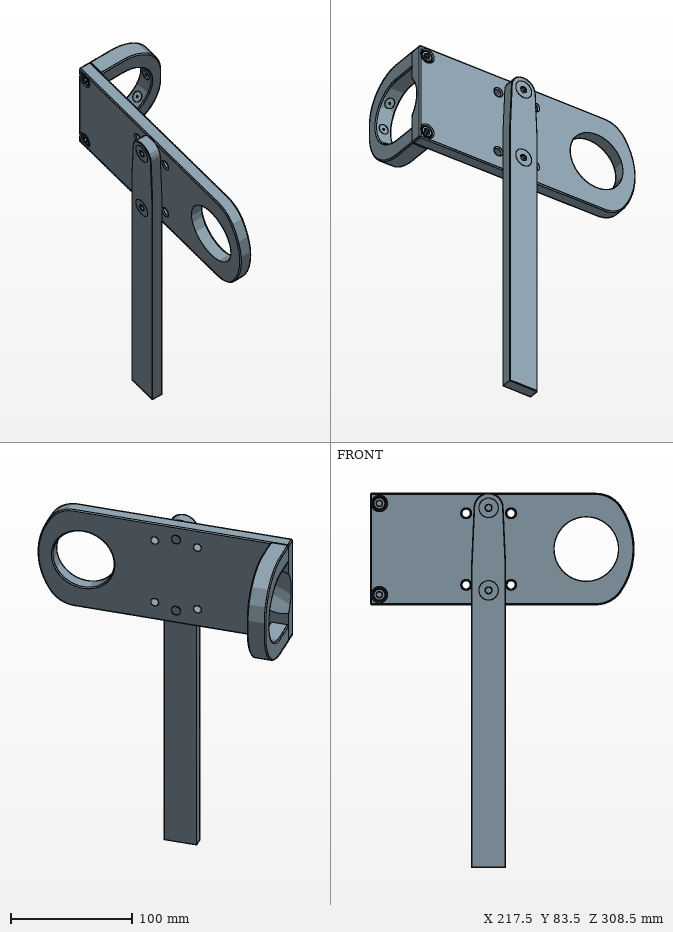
import cadquery as cq
import math


PLATE_LENGTH = 217.5
PLATE_HEIGHT = 92.0
PLATE_THICKNESS = 11.5
PLATE_CHAMFER = 1.0
END_RADIUS = 62.0
END_BLEND_RADIUS = 25.0
WINDOW_RADIUS = 26.5
WINDOW_CHAMFER = 1.0
WINDOW_X = 178.0
MID_Z = -PLATE_HEIGHT / 2

TAPPED_DIAMETER = 6.8
TAPPED_CHAMFER = 1.1
TAPPED_SPACING_X = 37.0
TAPPED_SPACING_Z = 59.0

BAR_X = 97.5
BAR_LENGTH = 308.5
BAR_THICKNESS = 10.0
BAR_HALF_WIDTH = 14.0
BAR_TIP_RADIUS = 12.0
BAR_TAPER_END_Z = -58.0
BAR_CHAMFER = 0.5

BAR_SCREW_ZS = (-BAR_TIP_RADIUS, -80.0)
BAR_SCREW_HEAD_DIAMETER = 16.0
BAR_SCREW_DIAMETER = 8.0
BAR_SCREW_PROTRUSION = 0.5
BAR_SCREW_SOCKET = 5.0
BAR_SCREW_SOCKET_DEPTH = 3.0
BAR_SCREW_LENGTH = BAR_THICKNESS + PLATE_THICKNESS + BAR_SCREW_PROTRUSION

SOCKET_RIM = 0.1

RING_THICKNESS = 16.0
RING_REACH = 62.0
RING_OUTER_RADIUS = 40.0
RING_INNER_RADIUS = 30.0
RING_CHAMFER = 1.0
RING_X = RING_THICKNESS / 2
RING_CENTER_Y = PLATE_THICKNESS + RING_REACH - RING_OUTER_RADIUS

CAP_SCREW_INSET = 7.5
CAP_SCREW_EDGE_GAP = 8.4
CAP_SCREW_ZS = (-CAP_SCREW_EDGE_GAP, CAP_SCREW_EDGE_GAP - PLATE_HEIGHT)
CAP_SCREW_DIAMETER = 6.0
CAP_SCREW_LENGTH = 20.0
CAP_HEAD_DIAMETER = 10.0
CAP_HEAD_HEIGHT = 6.0
CAP_HEAD_RECESS = 0.5
CAP_HEAD_CHAMFER = 0.5
CAP_SOCKET = 4.5
CAP_SOCKET_DEPTH = 3.0
COUNTERBORE_DIAMETER = 11.5
COUNTERBORE_DEPTH = CAP_HEAD_HEIGHT + CAP_HEAD_RECESS
COUNTERBORE_CHAMFER = 1.0

PLUG_ANGLES = (-45.0, 0.0, 45.0)
PLUG_DIAMETER = 9.0
PLUG_DEPTH = 6.0
PLUG_FACE_RADIUS = math.sqrt(RING_INNER_RADIUS**2 - PLUG_DIAMETER**2 / 4)
PLUG_HOLE_DIAMETER = 1.5
PLUG_HOLE_DEPTH = 3.0


def cylinder(diameter, length, x, y, z):
    """Cylinder that starts at (x, y, z) and runs along +Y."""
    return cq.Workplane(cq.Solid.makeCylinder(
        diameter / 2, length, cq.Vector(x, y, z), cq.Vector(0, 1, 0)))


def cone(start_diameter, end_diameter, length, x, y, z):
    """Cone that starts at (x, y, z) and runs along +Y."""
    return cq.Workplane(cq.Solid.makeCone(
        start_diameter / 2, end_diameter / 2, length, cq.Vector(x, y, z), cq.Vector(0, 1, 0)))


def hex_socket(across_flats, depth, x, y, z):
    """Hexagonal prism along +Y with two corners on the vertical, and a conical rim."""
    across_corners = across_flats / math.cos(math.pi / 6)
    prism = (
        cq.Workplane("XZ", origin=(x, y, z))
        .transformed(rotate=(0, 0, 90))
        .polygon(6, across_corners)
        .extrude(-depth)
    )
    rim_diameter = across_corners + SOCKET_RIM
    rim_depth = (rim_diameter - across_flats) / 2
    return prism.union(cone(rim_diameter, across_flats, rim_depth, x, y, z))


def bar_screw(z):
    """Countersunk screw with its head flush with the front of the bar."""
    front = -BAR_THICKNESS
    head_height = (BAR_SCREW_HEAD_DIAMETER - BAR_SCREW_DIAMETER) / 2
    shank = cylinder(BAR_SCREW_DIAMETER, BAR_SCREW_LENGTH, BAR_X, front, z)
    head = cone(BAR_SCREW_HEAD_DIAMETER, BAR_SCREW_DIAMETER, head_height, BAR_X, front, z)
    return shank.union(head)


def cap_screw(z):
    """Socket head cap screw sunk into the front of the plate."""
    head = cylinder(CAP_HEAD_DIAMETER, CAP_HEAD_HEIGHT, CAP_SCREW_INSET, CAP_HEAD_RECESS, z)
    head = head.faces("<Y").chamfer(CAP_HEAD_CHAMFER)
    shank = cylinder(CAP_SCREW_DIAMETER, CAP_SCREW_LENGTH, CAP_SCREW_INSET, COUNTERBORE_DEPTH, z)
    return head.union(shank)


def plug(angle):
    """Cylinder in the ring wall with its flat end at the inside of the ring, without and with its hole."""
    direction = cq.Vector(0, math.cos(math.radians(angle)), math.sin(math.radians(angle)))
    start = cq.Vector(RING_X, RING_CENTER_Y, MID_Z) + direction * PLUG_FACE_RADIUS
    body = cq.Workplane(cq.Solid.makeCylinder(PLUG_DIAMETER / 2, PLUG_DEPTH, start, direction))
    hole = cq.Solid.makeCylinder(PLUG_HOLE_DIAMETER / 2, PLUG_HOLE_DEPTH, start, direction)
    return body, body.cut(cq.Workplane(hole))


def make_plate():
    end_center_x = PLATE_LENGTH - END_RADIUS
    center_distance = END_RADIUS - END_BLEND_RADIUS
    blend_center_z = PLATE_HEIGHT / 2 - END_BLEND_RADIUS
    blend_dx = math.sqrt(center_distance**2 - blend_center_z**2)
    blend_x = end_center_x + blend_dx
    touch_x = end_center_x + blend_dx * END_RADIUS / center_distance
    touch_z = blend_center_z * END_RADIUS / center_distance
    half_angle = math.atan2(blend_center_z, blend_dx) / 2 + math.pi / 4
    blend_mid_x = blend_x + END_BLEND_RADIUS * math.cos(half_angle)
    blend_mid_z = blend_center_z + END_BLEND_RADIUS * math.sin(half_angle)
    half_height = PLATE_HEIGHT / 2

    body = (
        cq.Workplane("XZ", origin=(0, 0, MID_Z))
        .moveTo(0, -half_height)
        .lineTo(blend_x, -half_height)
        .threePointArc((blend_mid_x, -blend_mid_z), (touch_x, -touch_z))
        .threePointArc((PLATE_LENGTH, 0), (touch_x, touch_z))
        .threePointArc((blend_mid_x, blend_mid_z), (blend_x, half_height))
        .lineTo(0, half_height)
        .close()
        .extrude(-PLATE_THICKNESS)
    )
    body = body.edges("not (<X and >Y)").edges("<Y or >Y or <X").chamfer(PLATE_CHAMFER)
    body = body.cut(cylinder(2 * WINDOW_RADIUS, PLATE_THICKNESS, WINDOW_X, 0, MID_Z))
    body = body.cut(cone(
        2 * WINDOW_RADIUS,
        2 * (WINDOW_RADIUS + WINDOW_CHAMFER),
        WINDOW_CHAMFER,
        WINDOW_X,
        PLATE_THICKNESS - WINDOW_CHAMFER,
        MID_Z,
    ))

    chamfer_diameter = TAPPED_DIAMETER + 2 * TAPPED_CHAMFER
    for side_x in (-1, 1):
        for side_z in (-1, 1):
            x = BAR_X + side_x * TAPPED_SPACING_X / 2
            z = MID_Z + side_z * TAPPED_SPACING_Z / 2
            body = body.cut(cylinder(TAPPED_DIAMETER, PLATE_THICKNESS, x, 0, z))
            body = body.cut(cone(chamfer_diameter, TAPPED_DIAMETER, TAPPED_CHAMFER, x, 0, z))

    mouth_diameter = COUNTERBORE_DIAMETER + 2 * COUNTERBORE_CHAMFER
    for z in CAP_SCREW_ZS:
        body = body.cut(cylinder(COUNTERBORE_DIAMETER, COUNTERBORE_DEPTH, CAP_SCREW_INSET, 0, z))
        body = body.cut(cone(mouth_diameter, COUNTERBORE_DIAMETER, COUNTERBORE_CHAMFER, CAP_SCREW_INSET, 0, z))
        body = body.cut(cap_screw(z))
    for z in BAR_SCREW_ZS:
        body = body.cut(bar_screw(z))

    scoop = cq.Workplane("XY", origin=(RING_X, RING_CENTER_Y, MID_Z)).sphere(RING_INNER_RADIUS)
    return body.cut(scoop)


def ring_opening(radius, length, taper=0):
    """U-shaped prism from the left face of the ring, open toward the plate, narrowing by the taper angle."""
    return (
        cq.Workplane("YZ", origin=(0, RING_CENTER_Y, MID_Z))
        .moveTo(-RING_CENTER_Y, -radius)
        .lineTo(0, -radius)
        .threePointArc((radius, 0), (0, radius))
        .lineTo(-RING_CENTER_Y, radius)
        .close()
        .extrude(length, taper=taper)
    )


def make_ring():
    body = (
        cq.Workplane("YZ", origin=(0, PLATE_THICKNESS, MID_Z))
        .rect(2 * RING_REACH, PLATE_HEIGHT)
        .extrude(RING_THICKNESS)
        .edges("|X and >Y")
        .fillet(RING_OUTER_RADIUS)
        .faces("<X or >X")
        .chamfer(RING_CHAMFER)
    )
    rim_radius = RING_INNER_RADIUS + RING_CHAMFER
    body = body.cut(ring_opening(RING_INNER_RADIUS, RING_THICKNESS))
    rim = ring_opening(rim_radius, 2 * RING_CHAMFER, 45)
    body = body.cut(rim).cut(rim.mirror("YZ", (RING_X, 0, 0)))
    keep = cq.Workplane("XY").box(
        RING_THICKNESS, RING_REACH, PLATE_HEIGHT, centered=(False, False, True)
    ).translate((0, PLATE_THICKNESS, MID_Z))
    body = body.intersect(keep)
    for z in CAP_SCREW_ZS:
        body = body.cut(cap_screw(z))
    for angle in PLUG_ANGLES:
        body = body.cut(plug(angle)[0])
    return body


def make_bar():
    drop = -BAR_TIP_RADIUS - BAR_TAPER_END_Z
    corner_distance = math.hypot(BAR_HALF_WIDTH, drop)
    tangent_angle = math.acos(BAR_TIP_RADIUS / corner_distance) - math.atan2(drop, BAR_HALF_WIDTH)
    tangent_x = BAR_TIP_RADIUS * math.cos(tangent_angle)
    tangent_z = -BAR_TIP_RADIUS + BAR_TIP_RADIUS * math.sin(tangent_angle)
    body = (
        cq.Workplane("XZ", origin=(BAR_X, 0, 0))
        .moveTo(-BAR_HALF_WIDTH, -BAR_LENGTH)
        .lineTo(BAR_HALF_WIDTH, -BAR_LENGTH)
        .lineTo(BAR_HALF_WIDTH, BAR_TAPER_END_Z)
        .lineTo(tangent_x, tangent_z)
        .threePointArc((0, 0), (-tangent_x, tangent_z))
        .lineTo(-BAR_HALF_WIDTH, BAR_TAPER_END_Z)
        .close()
        .extrude(BAR_THICKNESS)
        .faces("<Y")
        .chamfer(BAR_CHAMFER)
    )
    for z in BAR_SCREW_ZS:
        body = body.cut(bar_screw(z))
    return body


plate = make_plate()
ring = make_ring()
bar = make_bar()
bar_screws = [
    bar_screw(z).cut(hex_socket(BAR_SCREW_SOCKET, BAR_SCREW_SOCKET_DEPTH, BAR_X, -BAR_THICKNESS, z))
    for z in BAR_SCREW_ZS
]
cap_screws = [
    cap_screw(z).cut(hex_socket(CAP_SOCKET, CAP_SOCKET_DEPTH, CAP_SCREW_INSET, CAP_HEAD_RECESS, z))
    for z in CAP_SCREW_ZS
]
plugs = [plug(angle)[1] for angle in PLUG_ANGLES]

result = cq.Compound.makeCompound([
    plate.val(),
    ring.val(),
    bar.val(),
    *[screw.val() for screw in bar_screws],
    *[screw.val() for screw in cap_screws],
    *[body.val() for body in plugs],
])